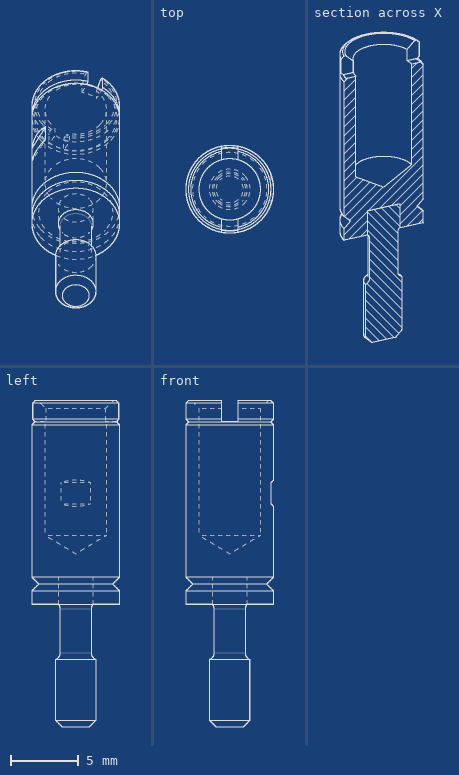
import cadquery as cq
import math

TOTAL_LENGTH = 24.2
HOUSING_BOTTOM = 9.1
HOUSING_RADIUS = 6.5 / 2

RIM_CHAMFER = 0.205
SLOT_WIDTH = 1.2
SLOT_DEPTH = 1.55
MOUTH_RADIUS = 5.75 / 2

BORE_RADIUS = 4.55 / 2
BORE_DEPTH = 10.0
DRILL_POINT_ANGLE = 118.0

RIM_GROOVE_DEPTH = 0.205
RIM_GROOVE_CENTRE = 22.6
FLANGE_GROOVE_DEPTH = 0.5
FLANGE_GROOVE_CENTRE = 10.6

FLAT_LENGTH = 1.95
FLAT_DEPTH = 0.2
FLAT_CENTRE = 17.33

PIN_RADIUS = 3.0 / 2
PIN_SHOULDER = 5.0
TIP_CHAMFER = 0.5
NECK_RADIUS = 2.35 / 2
SHANK_RADIUS = 2.6 / 2
SHANK_DEPTH = 2.0
NECK_FILLET = 0.5


def groove_cutter(centre, depth):
    """Ring of triangular section that cuts a V groove into the housing."""
    return (
        cq.Workplane("XZ")
        .moveTo(HOUSING_RADIUS - depth, centre)
        .lineTo(HOUSING_RADIUS, centre + depth)
        .lineTo(HOUSING_RADIUS, centre - depth)
        .close()
        .revolve(360, (0, 0, 0), (0, 1, 0))
    )


def bore_cutter():
    """Blind bore: 45 degree countersunk mouth, straight wall and conical bottom."""
    mouth_depth = MOUTH_RADIUS - BORE_RADIUS
    wall_end = TOTAL_LENGTH - BORE_DEPTH
    point_depth = BORE_RADIUS / math.tan(math.radians(DRILL_POINT_ANGLE / 2))
    return (
        cq.Workplane("XZ")
        .moveTo(0, TOTAL_LENGTH)
        .lineTo(MOUTH_RADIUS, TOTAL_LENGTH)
        .lineTo(BORE_RADIUS, TOTAL_LENGTH - mouth_depth)
        .lineTo(BORE_RADIUS, wall_end)
        .lineTo(0, wall_end - point_depth)
        .close()
        .revolve(360, (0, 0, 0), (0, 1, 0))
    )


def slot_cutter():
    """Screwdriver slot running along Y right across the rim."""
    return cq.Workplane("XY").box(
        SLOT_WIDTH, 2 * HOUSING_RADIUS, SLOT_DEPTH, centered=(True, True, False)
    ).translate((0, 0, TOTAL_LENGTH - SLOT_DEPTH))


def flat_cutter():
    """Trapezoidal bar along Y that mills the flat into the +X side."""
    half_length = FLAT_LENGTH / 2
    floor_half_length = half_length - FLAT_DEPTH
    return (
        cq.Workplane("XZ")
        .moveTo(HOUSING_RADIUS, FLAT_CENTRE - half_length)
        .lineTo(HOUSING_RADIUS, FLAT_CENTRE + half_length)
        .lineTo(HOUSING_RADIUS - FLAT_DEPTH, FLAT_CENTRE + floor_half_length)
        .lineTo(HOUSING_RADIUS - FLAT_DEPTH, FLAT_CENTRE - floor_half_length)
        .close()
        .extrude(HOUSING_RADIUS, both=True)
    )


def shank_hole_cutter():
    """Blind hole in the underside that holds the pin shank."""
    return (
        cq.Workplane("XY", origin=(0, 0, HOUSING_BOTTOM))
        .circle(SHANK_RADIUS)
        .extrude(SHANK_DEPTH)
    )


def make_housing():
    """Grooved, slotted sleeve with a blind bore from above."""
    return (
        cq.Workplane("XY", origin=(0, 0, HOUSING_BOTTOM))
        .circle(HOUSING_RADIUS)
        .extrude(TOTAL_LENGTH - HOUSING_BOTTOM)
        .faces(">Z")
        .chamfer(RIM_CHAMFER)
        .cut(groove_cutter(RIM_GROOVE_CENTRE, RIM_GROOVE_DEPTH))
        .cut(groove_cutter(FLANGE_GROOVE_CENTRE, FLANGE_GROOVE_DEPTH))
        .cut(bore_cutter())
        .cut(slot_cutter())
        .cut(flat_cutter())
        .cut(shank_hole_cutter())
    )


def neck_fillet_point(outer_radius, share=1.0):
    """Radial and axial run of the neck fillet, from its tangent point on the neck.

    The fillet sweeps until it reaches outer_radius; share picks a part of that sweep.
    """
    sweep = share * math.acos(1 - (outer_radius - NECK_RADIUS) / NECK_FILLET)
    return NECK_FILLET * (1 - math.cos(sweep)), NECK_FILLET * math.sin(sweep)


def make_pin():
    """Chamfered pin with a filleted neck below the shank set in the housing."""
    lower_rise = neck_fillet_point(PIN_RADIUS)[1]
    lower_mid_out, lower_mid_rise = neck_fillet_point(PIN_RADIUS, 0.5)
    upper_rise = neck_fillet_point(SHANK_RADIUS)[1]
    upper_mid_out, upper_mid_rise = neck_fillet_point(SHANK_RADIUS, 0.5)
    neck_bottom = PIN_SHOULDER + lower_rise
    neck_top = HOUSING_BOTTOM - upper_rise
    shank_top = HOUSING_BOTTOM + SHANK_DEPTH
    return (
        cq.Workplane("XZ")
        .moveTo(0, 0)
        .lineTo(PIN_RADIUS - TIP_CHAMFER, 0)
        .lineTo(PIN_RADIUS, TIP_CHAMFER)
        .lineTo(PIN_RADIUS, PIN_SHOULDER)
        .threePointArc(
            (NECK_RADIUS + lower_mid_out, neck_bottom - lower_mid_rise),
            (NECK_RADIUS, neck_bottom),
        )
        .lineTo(NECK_RADIUS, neck_top)
        .threePointArc(
            (NECK_RADIUS + upper_mid_out, neck_top + upper_mid_rise),
            (SHANK_RADIUS, HOUSING_BOTTOM),
        )
        .lineTo(SHANK_RADIUS, shank_top)
        .lineTo(0, shank_top)
        .close()
        .revolve(360, (0, 0, 0), (0, 1, 0))
    )


housing = make_housing()
pin = make_pin()
result = cq.Compound.makeCompound([housing.val(), pin.val()])